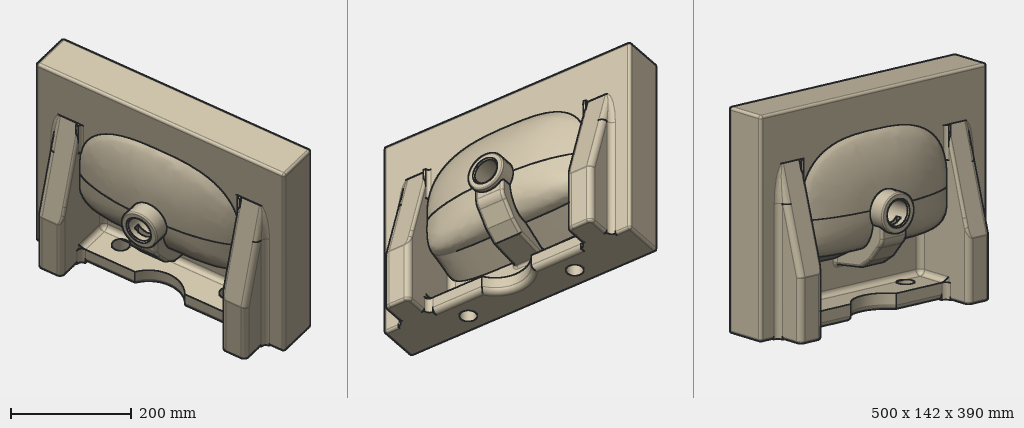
import cadquery as cq
import math

WIDTH = 500.0
DEPTH = 80.0
HEIGHT = 390.0
BLOCK_FILLET = 5.0

LEG_INNER_X = 160.0
LEG_WIDTH = 50.0
LEG_DEPTH = 55.0
LEG_STRAIGHT_HEIGHT = 115.0
LEG_HEIGHT = 300.0
LEG_TIP_DEPTH = 0.5
LEG_FILLET = 10.0
LEG_INNER_TOP_FILLET = 5.0
LEG_FLARE = 10.0
LEG_INNER_TOP_FLARE = 6.0
FLARE_SECTIONS = 6

SHELF_THICKNESS = 30.0
SHELF_EDGE_ROUND = 10.0
RECESS_DEPTH = 65.0
RECESS_TOP = 240.0
RECESS_FILLET = 10.0
CUTOUT_RADIUS = 60.0
CUTOUT_HALF_CHORD = 50.0
MOUNT_HOLE_DIAMETER = 30.0
MOUNT_HOLE_X = 108.0
MOUNT_HOLE_Y = 43.0

BOWL_Z = 194.0
BOWL_HALF_WIDTH = 171.0
BOWL_UPPER_HEIGHT = 134.5
BOWL_LOWER_HEIGHT = 76.0
BOWL_FOOT_HEIGHT = 105.0
BOWL_UPPER_POWER = 2.8
BOWL_LOWER_POWER = 5.0
BOWL_LOWER_FULLNESS = 2.2
BOWL_APEX_Y = -33.0
BOWL_RIM_Y = 15.0
BOWL_LEVELS = (1.0, 0.92, 0.78, 0.6, 0.4, 0.15)
OUTLINE_STEPS = 24

DRAIN_Z = 190.0
DRAIN_DIAMETER = 71.0
DRAIN_BORE = 45.0
DRAIN_END_Y = -62.0
DRAIN_CHAMFER = 2.5
DRAIN_END_ROUND = 2.5

HOUSING_WIDTH = 56.0
HOUSING_FACE_Y = -52.0
HOUSING_ARC_TOP_Z = 148.0
HOUSING_SLOPE_TOP = (-44.0, 131.0)
HOUSING_SLOPE_END = (-22.0, 104.6)
HOUSING_BELLY = (2.0, 88.0)
HOUSING_FOOT_Z = 79.0
HOUSING_FOOT_FILLET = 5.0
HOUSING_FILLET = 5.0
DUCT_WIDTH = 36.0
DUCT_FRONT_Y = -47.0
DUCT_BACK_Y = -37.0
DUCT_BOTTOM_Z = 140.0


LEG_OUTER_X = LEG_INNER_X + LEG_WIDTH
LEG_SLOPE = (LEG_DEPTH - LEG_TIP_DEPTH) / (LEG_HEIGHT - LEG_STRAIGHT_HEIGHT)

OVERLAP = 5.0


def both_sides(shape):
    """The +X shape together with its mirror image."""
    return shape.union(shape.mirror("YZ"))


def loft_solid(sections):
    return cq.Workplane(cq.Solid.makeLoft(sections))


def make_block():
    block = cq.Workplane("XY").box(WIDTH, DEPTH, HEIGHT, centered=(True, False, False))
    return block.edges().fillet(BLOCK_FILLET)


def round_leg_edges(leg, wall_x, bottom, top, radius):
    """Round the front edges of the leg at one of its walls that are centred between two heights."""
    near_edges = cq.selectors.BoxSelector(
        (wall_x - 1, -LEG_DEPTH - 1, bottom),
        (wall_x + 1, -OVERLAP, top),
    )
    return leg.edges(near_edges).fillet(radius)


def make_leg_core():
    """Tapered leg on the +X side, rounded along its two long outer edges and its foot."""
    root_y = DEPTH / 2
    profile = [
        (root_y, 0),
        (-LEG_DEPTH, 0),
        (-LEG_DEPTH, LEG_STRAIGHT_HEIGHT),
        (-LEG_TIP_DEPTH, LEG_HEIGHT),
        (root_y, LEG_HEIGHT),
    ]
    leg = cq.Workplane("YZ", origin=(LEG_INNER_X, 0, 0)).polyline(profile).close().extrude(LEG_WIDTH)
    foot, bend, tip = OVERLAP, LEG_STRAIGHT_HEIGHT, LEG_HEIGHT - OVERLAP
    leg = round_leg_edges(leg, LEG_OUTER_X, foot, tip, LEG_FILLET)
    leg = round_leg_edges(leg, LEG_INNER_X, foot, bend, LEG_FILLET)
    leg = round_leg_edges(leg, LEG_INNER_X, bend, tip, LEG_INNER_TOP_FILLET)
    return leg.faces("<Z").edges("not >Y").fillet(BLOCK_FILLET)


def flare_prism(wall_x, outward, radius, bottom, top):
    """Concave quarter-round between a leg wall and the block face; outward is +1 or -1 along X."""
    foot_x = wall_x + outward * radius
    hidden_x = wall_x - outward * OVERLAP
    offset = radius * (1 - math.sqrt(0.5))
    return (
        cq.Workplane("XY", origin=(0, 0, bottom))
        .moveTo(hidden_x, -radius)
        .lineTo(wall_x, -radius)
        .threePointArc((wall_x + outward * offset, -offset), (foot_x, 0))
        .lineTo(foot_x, OVERLAP)
        .lineTo(hidden_x, OVERLAP)
        .close()
        .extrude(top - bottom)
    )


def vanishing_flare():
    """Outer flare where the leg is too shallow for a straight wall: two tangent arcs at each level."""
    reach = LEG_FILLET + LEG_FLARE
    crown_x = LEG_OUTER_X - LEG_FILLET
    sections = []
    for step in range(FLARE_SECTIONS):
        depth = reach + (LEG_TIP_DEPTH - reach) * step / (FLARE_SECTIONS - 1)
        z = LEG_HEIGHT - (depth - LEG_TIP_DEPTH) / LEG_SLOPE
        lift = depth - reach
        foot_x = crown_x + math.sqrt(reach**2 - lift**2)
        turn = math.acos(-lift / reach)
        half = turn / 2
        meet_x = (crown_x * LEG_FLARE + foot_x * LEG_FILLET) / reach
        crown_y = LEG_FILLET - depth
        meet_y = crown_y + (-LEG_FLARE - crown_y) * LEG_FILLET / reach
        sections.append(
            cq.Workplane("XY", origin=(0, 0, z))
            .moveTo(crown_x, -depth)
            .threePointArc(
                (crown_x + LEG_FILLET * math.sin(half), crown_y - LEG_FILLET * math.cos(half)),
                (meet_x, meet_y),
            )
            .threePointArc(
                (foot_x - LEG_FLARE * math.sin(half), -LEG_FLARE + LEG_FLARE * math.cos(half)),
                (foot_x, 0),
            )
            .lineTo(foot_x, OVERLAP)
            .lineTo(crown_x, OVERLAP)
            .close()
            .val()
        )
    return loft_solid(sections)


def make_leg():
    """Complete +X leg with its flares into the block face."""
    core = make_leg_core()
    flare_end_z = LEG_HEIGHT - (LEG_FILLET + LEG_FLARE - LEG_TIP_DEPTH) / LEG_SLOPE
    outer = flare_prism(LEG_OUTER_X, 1, LEG_FLARE, 0, flare_end_z)
    inner_low = flare_prism(LEG_INNER_X, -1, LEG_FLARE, 0, SHELF_THICKNESS)
    inner_top = flare_prism(LEG_INNER_X, -1, LEG_INNER_TOP_FLARE, SHELF_THICKNESS, LEG_HEIGHT)
    return core.union(outer).union(vanishing_flare()).union(inner_low).union(inner_top)


def make_recess():
    """Pocket between the legs, rounded where its walls meet the floor."""
    pocket = cq.Workplane("XY").box(
        2 * LEG_INNER_X, RECESS_DEPTH + LEG_DEPTH, RECESS_TOP - SHELF_THICKNESS, centered=(True, False, False)
    )
    pocket = pocket.translate((0, -LEG_DEPTH, SHELF_THICKNESS))
    return pocket.faces(">Y or <Z").edges("not (<Y or (>Z and |X))").fillet(RECESS_FILLET)


def superellipse(half_width, half_height, power, y):
    """Closed smooth superellipse centred on the bowl's level line."""
    points = []
    for step in range(OUTLINE_STEPS):
        angle = 2 * math.pi * step / OUTLINE_STEPS
        cosine = math.cos(angle)
        sine = math.sin(angle)
        x = math.copysign(abs(cosine) ** (2 / power), cosine) * half_width
        rise = math.copysign(abs(sine) ** (2 / power), sine) * half_height
        points.append(cq.Vector(x, y, BOWL_Z + rise))
    return cq.Wire.assembleEdges([cq.Edge.makeSpline(points, periodic=True)])


def blended_power(power, size):
    """Outlines turn from the given superellipse at the rim to a plain ellipse at the apex."""
    return 2 + (power - 2) * size


def make_bowl():
    """Solid bowl bulge: a dome above the rim level and a root reaching into the recess floor."""
    upper_sections = []
    lower_sections = []
    for size in BOWL_LEVELS:
        level = math.sqrt(1 - size**2)
        y = BOWL_RIM_Y + (BOWL_APEX_Y - BOWL_RIM_Y) * level
        width = BOWL_HALF_WIDTH * size
        upper_height = BOWL_UPPER_HEIGHT * size
        lower_height = BOWL_LOWER_HEIGHT * (1 - level**BOWL_LOWER_FULLNESS) ** (1 / BOWL_LOWER_FULLNESS)
        upper_sections.append(superellipse(width, upper_height, blended_power(BOWL_UPPER_POWER, size), y))
        lower_sections.append(superellipse(width, lower_height, blended_power(BOWL_LOWER_POWER, size), y))
    floor_y = RECESS_DEPTH + OVERLAP
    upper_root = superellipse(BOWL_HALF_WIDTH, BOWL_UPPER_HEIGHT, BOWL_UPPER_POWER, floor_y)
    lower_root = superellipse(BOWL_HALF_WIDTH, BOWL_FOOT_HEIGHT, BOWL_LOWER_POWER, floor_y)
    upper = loft_solid(upper_sections).union(loft_solid([upper_sections[0], upper_root]))
    lower = loft_solid(lower_sections).union(loft_solid([lower_sections[0], lower_root]))
    above_level = cq.Workplane("XY", origin=(0, 0, BOWL_Z)).rect(WIDTH, WIDTH).extrude(HEIGHT)
    return upper.intersect(above_level).union(lower.cut(above_level))


def make_drain():
    """Outlet tube with a rounded end."""
    length = RECESS_DEPTH - DRAIN_END_Y
    drain = cq.Workplane("XZ", origin=(0, RECESS_DEPTH, DRAIN_Z)).circle(DRAIN_DIAMETER / 2).extrude(length)
    return drain.faces("<Y").edges().fillet(DRAIN_END_ROUND)


def make_housing():
    """Overflow housing from the drain down to the recess floor, with rounded long edges."""
    foot_y = RECESS_DEPTH + OVERLAP
    housing = (
        cq.Workplane("YZ", origin=(-HOUSING_WIDTH / 2, 0, 0))
        .moveTo(foot_y, DRAIN_Z)
        .lineTo(HOUSING_FACE_Y, DRAIN_Z)
        .lineTo(HOUSING_FACE_Y, HOUSING_ARC_TOP_Z)
        .tangentArcPoint(HOUSING_SLOPE_TOP, relative=False)
        .lineTo(*HOUSING_SLOPE_END)
        .lineTo(*HOUSING_BELLY)
        .lineTo(foot_y, HOUSING_FOOT_Z)
        .close()
        .extrude(HOUSING_WIDTH)
    )
    side_edges = cq.selectors.BoxSelector(
        (-HOUSING_WIDTH, HOUSING_FACE_Y - 1, 0),
        (HOUSING_WIDTH, RECESS_DEPTH - OVERLAP, DRAIN_Z - OVERLAP),
    )
    cross_edges = cq.selectors.ParallelDirSelector(cq.Vector(1, 0, 0))
    return housing.edges(side_edges - cross_edges).fillet(HOUSING_FILLET)


def round_housing_foot(body):
    """Concave fillet where the housing stands on the recess floor."""
    bowl_foot_z = BOWL_Z - BOWL_FOOT_HEIGHT
    foot_edges = cq.selectors.BoxSelector(
        (-HOUSING_WIDTH, RECESS_DEPTH - 1, HOUSING_FOOT_Z - OVERLAP),
        (HOUSING_WIDTH, RECESS_DEPTH + 1, bowl_foot_z),
    )
    return body.edges(foot_edges).fillet(HOUSING_FOOT_FILLET)


def scallop_centre_y():
    return -math.sqrt(CUTOUT_RADIUS**2 - CUTOUT_HALF_CHORD**2)


def make_shelf_cutouts():
    """Scalloped front of the shelf and the two mounting holes through it."""
    scallop = cq.Workplane("XY").center(0, scallop_centre_y()).circle(CUTOUT_RADIUS).extrude(SHELF_THICKNESS)
    holes = (
        cq.Workplane("XY")
        .pushPoints([(-MOUNT_HOLE_X, MOUNT_HOLE_Y), (MOUNT_HOLE_X, MOUNT_HOLE_Y)])
        .circle(MOUNT_HOLE_DIAMETER / 2)
        .extrude(SHELF_THICKNESS)
    )
    return scallop.union(holes)


def edge_round_profile(plane, edge_y):
    """Area between a convex quarter-round and the square shelf edge lying at edge_y."""
    radius = SHELF_EDGE_ROUND
    offset = radius * (1 - math.sqrt(0.5))
    return (
        cq.Workplane(plane)
        .moveTo(edge_y, radius)
        .threePointArc((edge_y + offset, offset), (edge_y + radius, 0))
        .lineTo(edge_y + radius, -OVERLAP)
        .lineTo(edge_y - OVERLAP, -OVERLAP)
        .lineTo(edge_y - OVERLAP, radius)
        .close()
    )


def make_shelf_edge_rounding():
    """Cutter rounding the lower edge of the shelf, along its straight front and around the scallop."""
    half_length = LEG_INNER_X - LEG_FLARE
    front = edge_round_profile("YZ", 0).extrude(half_length, both=True)
    around = edge_round_profile("YZ", CUTOUT_RADIUS).revolve(360, (0, 0, 0), (0, 1, 0))
    return front.union(around.translate((0, scallop_centre_y(), 0)))


def make_bore():
    """Through bore of the drain with a countersunk mouth."""
    bore = cq.Workplane("XZ", origin=(0, DEPTH, DRAIN_Z)).circle(DRAIN_BORE / 2).extrude(DEPTH - DRAIN_END_Y)
    mouth = cq.Solid.makeCone(
        DRAIN_BORE / 2 + DRAIN_CHAMFER,
        DRAIN_BORE / 2,
        DRAIN_CHAMFER,
        cq.Vector(0, DRAIN_END_Y, DRAIN_Z),
        cq.Vector(0, 1, 0),
    )
    return bore.union(cq.Workplane(mouth))


def make_duct():
    """Overflow duct opening downwards from the drain bore."""
    duct = cq.Workplane("XY", origin=(0, DUCT_FRONT_Y, DUCT_BOTTOM_Z))
    return duct.box(
        DUCT_WIDTH, DUCT_BACK_Y - DUCT_FRONT_Y, DRAIN_Z - DUCT_BOTTOM_Z, centered=(True, False, False)
    )


body = make_block().union(both_sides(make_leg()))
body = body.cut(make_recess())
body = body.union(make_bowl())
body = body.union(make_housing()).union(make_drain())
body = body.cut(make_shelf_cutouts()).cut(make_shelf_edge_rounding())
body = round_housing_foot(body)
result = body.cut(make_duct()).cut(make_bore())